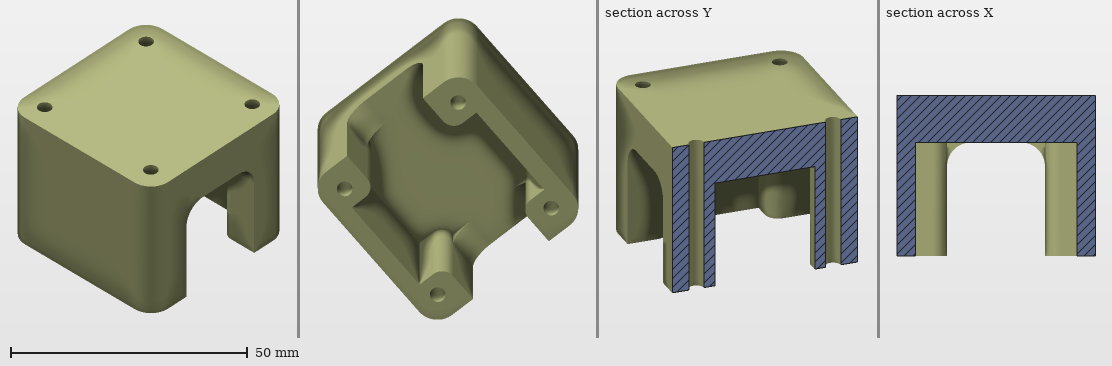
import cadquery as cq

side = 42.0
height = 34.0
corner_radius = 5.0

roof_thickness = 10.1
passage_width = 20.65
passage_corner_radius = 5.0
passage_height = height - roof_thickness

side_wall = 4.0
end_wall = 9.7
mouth_radius = 3.0
chamber_length = side - 2 * end_wall
chamber_width = side - 2 * side_wall

hole_diameter = 3.3
hole_spacing = 31.0


def outer_block():
    block = cq.Workplane("XY").rect(side, side).extrude(height)
    return block.edges("|Z").fillet(corner_radius)


def passage():
    bar = cq.Workplane("XY").box(side, passage_width, passage_height, centered=(True, True, False))
    return bar.edges("|X and >Z").fillet(passage_corner_radius)


def flared_chamber():
    """Chamber whose ends narrow to the passage width around rounded upright edges."""
    room = cq.Workplane("XY").box(
        chamber_length, chamber_width, passage_height, centered=(True, True, False)
    )
    channel = cq.Workplane("XY").box(
        side, passage_width, passage_height, centered=(True, True, False)
    )
    half_length = chamber_length / 2
    half_width = passage_width / 2
    cavity = room.union(channel)
    for x in (-half_length, half_length):
        for y in (-half_width, half_width):
            mouth_edge = cq.selectors.NearestToPointSelector((x, y, passage_height / 2))
            cavity = cavity.edges(mouth_edge).fillet(mouth_radius)
    flare_limits = cq.Workplane("XY").box(
        chamber_length + 2 * mouth_radius, chamber_width, passage_height, centered=(True, True, False)
    )
    return cavity.intersect(flare_limits)


def corner_holes():
    return (
        cq.Workplane("XY")
        .rect(hole_spacing, hole_spacing, forConstruction=True)
        .vertices()
        .circle(hole_diameter / 2)
        .extrude(height)
    )


result = outer_block().cut(passage()).cut(flared_chamber()).cut(corner_holes())